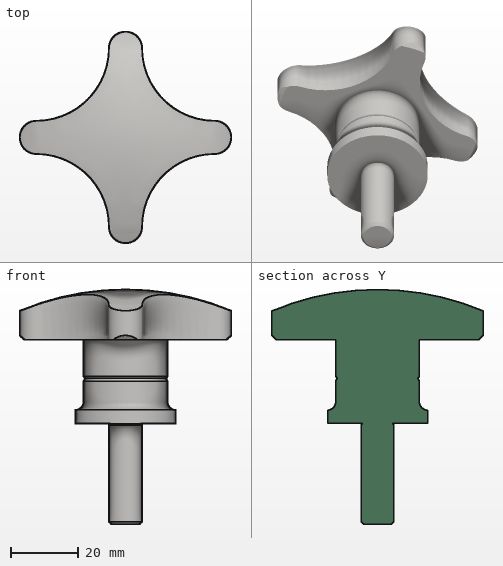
import cadquery as cq
import math

total_height = 70.0
star_span = 63.0

arm_tip_radius = 5.0
head_bottom = 54.95
dome_drop = 6.4
head_chamfer = 1.3

collar_radius = 12.5
groove_top = 44.1
groove_root = 43.55
groove_bottom = 42.6
groove_depth = 0.4
flare_radius = 2.45
flange_radius = collar_radius + flare_radius
flange_top = 34.1
flange_bottom = 30.0

stud_radius = 5.0
stud_end_chamfer = 0.85
stud_neck_chamfer = 0.4

star_radius = star_span / 2
arm_center = star_radius - arm_tip_radius
half_diagonal = math.sqrt(0.5)


def rotate_point(point, quarter_turns):
    """Turn a point about the origin by whole quarter turns."""
    x, y = point
    for _ in range(quarter_turns):
        x, y = -y, x
    return x, y


def star_prism():
    """Star outline extruded past the dome: arm tips joined by tangent hollows."""
    hollow_radius = arm_center - arm_tip_radius
    hollow_middle = arm_center - hollow_radius * half_diagonal
    outline = cq.Workplane("XY").workplane(offset=head_bottom).moveTo(arm_center, -arm_tip_radius)
    for turn in range(4):
        tip = rotate_point((star_radius, 0), turn)
        tip_end = rotate_point((arm_center, arm_tip_radius), turn)
        hollow = rotate_point((hollow_middle, hollow_middle), turn)
        next_arm = rotate_point((arm_tip_radius, arm_center), turn)
        outline = outline.threePointArc(tip, tip_end).threePointArc(hollow, next_arm)
    return outline.close().extrude(total_height - head_bottom)


def domed_envelope():
    """Round body that gives the head its spherical top and chamfered lower rim."""
    dome_radius = (star_radius**2 + dome_drop**2) / (2 * dome_drop)
    mid_radius = star_radius / 2
    mid_height = total_height - dome_radius + math.sqrt(dome_radius**2 - mid_radius**2)
    profile = (
        cq.Workplane("XZ")
        .moveTo(0, head_bottom)
        .lineTo(star_radius - head_chamfer, head_bottom)
        .lineTo(star_radius, head_bottom + head_chamfer)
        .lineTo(star_radius, total_height - dome_drop)
        .threePointArc((mid_radius, mid_height), (0, total_height))
        .close()
    )
    return profile.revolve(360, (0, 0, 0), (0, 1, 0))


def stem():
    """Stud, flange, flare and grooved collar as one turned body."""
    flare_middle_offset = flare_radius * (1 - half_diagonal)
    profile = (
        cq.Workplane("XZ")
        .moveTo(0, 0)
        .lineTo(stud_radius - stud_end_chamfer, 0)
        .lineTo(stud_radius, stud_end_chamfer)
        .lineTo(stud_radius, flange_bottom - stud_neck_chamfer)
        .lineTo(stud_radius - stud_neck_chamfer, flange_bottom)
        .lineTo(flange_radius, flange_bottom)
        .lineTo(flange_radius, flange_top)
        .threePointArc(
            (collar_radius + flare_middle_offset, flange_top + flare_middle_offset),
            (collar_radius, flange_top + flare_radius),
        )
        .lineTo(collar_radius, groove_bottom)
        .lineTo(collar_radius - groove_depth, groove_root)
        .lineTo(collar_radius, groove_top)
        .lineTo(collar_radius, head_bottom)
        .lineTo(0, head_bottom)
        .close()
    )
    return profile.revolve(360, (0, 0, 0), (0, 1, 0))


head = star_prism().intersect(domed_envelope())
result = head.union(stem())